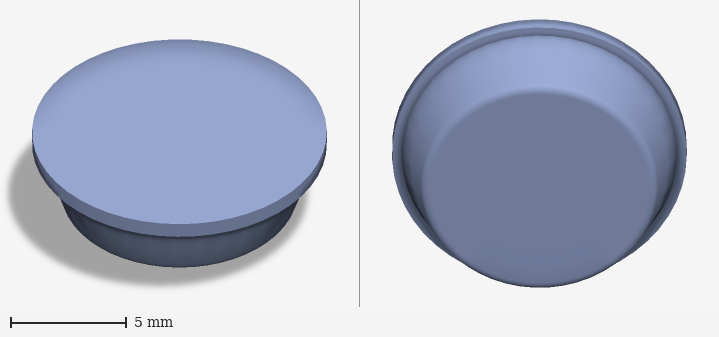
import cadquery as cq
import math

flange_diameter = 12.7
flange_thickness = 0.7

total_height = 3.6
body_top_diameter = 11.9
wall_draft = 18.0
bottom_fillet = 0.4

body_height = total_height - flange_thickness
body_top_radius = body_top_diameter / 2
body_bottom_radius = body_top_radius - body_height * math.tan(math.radians(wall_draft))


def make_flange():
    """Flat disc whose top face is the top of the part."""
    return (
        cq.Workplane("XY")
        .workplane(offset=body_height)
        .circle(flange_diameter / 2)
        .extrude(flange_thickness)
    )


def make_body():
    """Cone narrowing downwards, with its bottom rim rounded."""
    cone = cq.Solid.makeCone(body_bottom_radius, body_top_radius, body_height)
    return cq.Workplane(cone).faces("<Z").edges().fillet(bottom_fillet)


result = make_flange().union(make_body())